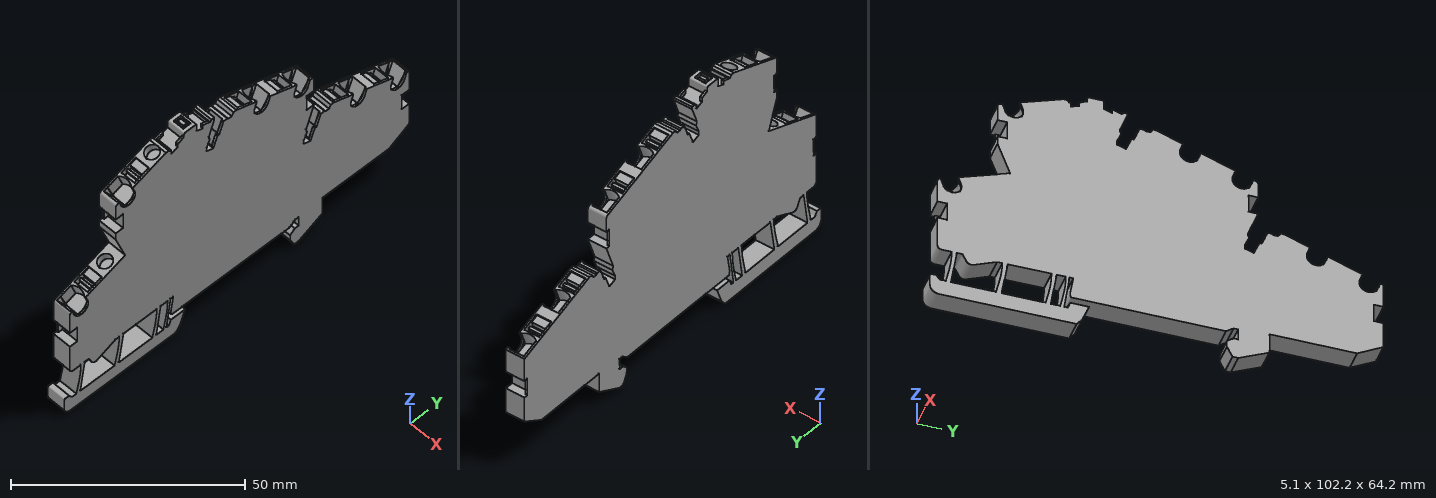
import cadquery as cq
import math

THICKNESS = 5.1
LENGTH = 102.24
HEIGHT = 64.25
HALF_LENGTH = LENGTH / 2
HALF_THICKNESS = THICKNESS / 2

SLOPE_ANGLE = 20.0
SLOPE_TAN = math.tan(math.radians(SLOPE_ANGLE))
CORNER_RADIUS = 0.8

TOP_PLATE_Z = 61.6
BODY_BOTTOM_Z = 7.1
TAIL_BOTTOM_Z = 8.9
LEG_TOP_Z = 12.6
LEG_BOTTOM_Z = 4.1
LEG_OVERLAP = 0.3
SPRING_LEGS = [
    (-19.6, -20.9, 0.9),
    (-22.5, -23.9, 1.2),
    (-33.5, -35.0, 1.3),
    (-45.0, -46.4, 1.2),
]
LEG_BEND_DROP = 2.5
LEG_BEND_RADIUS = 25.0
RAIL_LIP_Z = 5.55

LEFT_LOWER = (HALF_LENGTH, 29.7)
LEFT_UPPER = (22.9, 50.8)
RIGHT_LOWER = (-49.45, 32.2)
RIGHT_UPPER = (-35.9, 56.8)
LEFT_LOWER_RUN = 22.4
LEFT_UPPER_RUN = 23.0
RIGHT_LOWER_RUN = 16.4
RIGHT_UPPER_RUN = 14.9

RECESS_DEPTH = 1.0
RECESS_HEIGHT = 4.55
RECESS_CORE_DEPTH = 1.2
RECESS_SKIN = 0.5
LEFT_LOWER_RECESS_Z = 19.0
LEFT_UPPER_RECESS_Z = 42.0
RIGHT_LOWER_RECESS_Z = 21.3
RIGHT_UPPER_RECESS_Z = 47.75

OPENING_WIDTH = 4.0
FUNNEL_START = 0.5
FUNNEL_LENGTH = 5.2
FUNNEL_RAMP = 1.2
FUNNEL_DEPTH = 4.0
FUNNEL_BULGE = 0.7
FUNNEL_SIDE_TAPER = 0.7
NOTCH_START = 0.3
NOTCH_LENGTH = 4.2
NOTCH_DEPTH = 4.0
NOTCH_SHOULDER = 2.1
LEVER_START = 6.1
LEVER_LENGTH = 4.5
LEVER_DEPTH = 2.0
LEVER_BAR_LENGTH = 0.7
LEVER_BAR_OFFSET = 1.1
LEVER_BAR_HEIGHT = 1.0
LEVER_PLATE_LENGTH = 2.0
LEVER_PLATE_HEIGHT = 1.6
GAP_CORE_WIDTH = 3.8
OPENING_PITCH = 12.6
UPPER_FACE_SHIFT = 0.4
TEST_HOLE_DIAMETER = 3.6
TEST_HOLE_POSITION = 13.7
TEST_HOLE_DEPTH = 2.5

TOWER_CENTER_Y = -13.75
TOWER_WIDTH = 3.8
TOWER_SLOT_WIDTH = 3.0
TOWER_SLOT_LENGTH = 2.2
TOWER_SLOT_DEPTH = 0.8
TOWER_POST_WIDTH = 1.8
TOWER_POST_LENGTH = 1.0
SIDE_WALL = 0.6
ROOF_POCKET_ROOT = 0.35
ROOF_POCKET_SPLIT = 3.7
ROOF_POCKET_END = 5.6


def rounded_outline(corners):
    """Closed YZ wire from (y, z) or (y, z, radius) corners."""
    path = None
    count = len(corners)
    for index, corner in enumerate(corners):
        point = cq.Vector(corner[0], corner[1])
        if len(corner) == 2:
            stops = [point]
        else:
            previous = corners[index - 1]
            following = corners[(index + 1) % count]
            to_previous = (cq.Vector(previous[0], previous[1]) - point).normalized()
            to_following = (cq.Vector(following[0], following[1]) - point).normalized()
            half_angle = to_previous.getAngle(to_following) / 2
            tangent = corner[2] / math.tan(half_angle)
            bisector = (to_previous + to_following).normalized()
            middle = point + bisector * (corner[2] / math.sin(half_angle) - corner[2])
            stops = [point + to_previous * tangent, middle, point + to_following * tangent]
        pairs = [(stop.x, stop.y) for stop in stops]
        if path is None:
            path = cq.Workplane("YZ", origin=(-HALF_THICKNESS, 0, 0)).moveTo(*pairs[0])
        else:
            path = path.lineTo(*pairs[0])
        if len(pairs) > 1:
            path = path.threePointArc(pairs[1], pairs[2])
    return path.close()


def plate(corners):
    """Full-thickness plate with the given YZ outline."""
    return rounded_outline(corners).extrude(THICKNESS)


def end_recess(face_y, bottom_z, inward):
    """Outline corners of a marker recess in an end face, from bottom to top."""
    floor_y = face_y + inward * RECESS_DEPTH
    top_z = bottom_z + RECESS_HEIGHT
    return [(face_y, bottom_z), (floor_y, bottom_z), (floor_y, top_z), (face_y, top_z)]


def ridge_and_gap(low_corner, run):
    """Top of a +Y wiring face and the stepped screwdriver gap behind it, down to the gap floor."""
    y = low_corner[0] - run
    z = low_corner[1] + run * SLOPE_TAN
    return [
        (y, z),
        (y - 0.85, z),
        (y - 1.4, z - 0.9),
        (y - 2.4, z - 0.9),
        (y - 2.7, z - 0.6),
        (y - 3.8, z - 0.6),
        (y - 5.1, z - 3.9),
        (y - 5.6, z - 3.9),
        (y - 6.85, z - 7.05),
        (y - 8.85, z - 6.4),
        (y - 8.85, z - 5.4),
        (y - 7.9, z - 3.2),
        (y - 8.2, z - 2.25),
    ]


def tower_outline():
    """Roof line from the gap over the tower to the -Y upper wiring face."""
    tower_left = TOWER_CENTER_Y + TOWER_WIDTH / 2
    tower_right = TOWER_CENTER_Y - TOWER_WIDTH / 2
    return [
        (-6.65, TOP_PLATE_Z - 0.2),
        (-6.65, TOP_PLATE_Z + 0.5),
        (-7.5, TOP_PLATE_Z + 0.5),
        (-7.9, TOP_PLATE_Z),
        (tower_left, TOP_PLATE_Z + 1.4),
        (tower_left, HEIGHT, 0.4),
        (tower_right, HEIGHT, 0.5),
        (tower_right, TOP_PLATE_Z + 1.5),
        (-17.7, TOP_PLATE_Z + 0.5),
        (-19.7, TOP_PLATE_Z),
        (-20.1, TOP_PLATE_Z + 0.6),
    ]


def housing():
    """Terminal housing with its +Y rail hook, without the -Y spring foot."""
    right_upper_ridge = (
        RIGHT_UPPER[0] + RIGHT_UPPER_RUN,
        RIGHT_UPPER[1] + RIGHT_UPPER_RUN * SLOPE_TAN,
    )
    inner_corner = (
        RIGHT_LOWER[0] + RIGHT_LOWER_RUN,
        RIGHT_LOWER[1] + RIGHT_LOWER_RUN * SLOPE_TAN,
    )
    corners = [(HALF_LENGTH, 12.3)]
    corners += end_recess(HALF_LENGTH, LEFT_LOWER_RECESS_Z, -1)
    corners += [LEFT_LOWER]
    corners += ridge_and_gap(LEFT_LOWER, LEFT_LOWER_RUN)
    corners += end_recess(LEFT_UPPER[0], LEFT_UPPER_RECESS_Z, -1)
    corners += [(*LEFT_UPPER, CORNER_RADIUS)]
    corners += ridge_and_gap(LEFT_UPPER, LEFT_UPPER_RUN)
    corners += tower_outline()
    corners += [right_upper_ridge, (*RIGHT_UPPER, CORNER_RADIUS)]
    corners += reversed(end_recess(RIGHT_UPPER[0], RIGHT_UPPER_RECESS_Z, 1))
    corners += [(RIGHT_UPPER[0], 45.7), inner_corner, (*RIGHT_LOWER, CORNER_RADIUS)]
    corners += reversed(end_recess(RIGHT_LOWER[0], RIGHT_LOWER_RECESS_Z, 1))
    corners += [
        (RIGHT_LOWER[0], LEG_TOP_Z, 1.0),
        (-43.8, LEG_TOP_Z, 0.3),
        (-42.4, 9.8, 1.2),
        (-36.0, LEG_TOP_Z - 0.1),
        (-18.8, LEG_TOP_Z),
        (-19.55, 8.2),
        (-19.4, BODY_BOTTOM_Z, 0.2),
        (15.6, BODY_BOTTOM_Z),
        (17.3, 8.35),
        (18.35, 8.35),
        (18.35, RAIL_LIP_Z),
        (17.2, RAIL_LIP_Z),
        (15.8, 4.4),
        (15.8, 2.8),
        (17.05, 0.35),
        (18.35, 0.35),
        (25.4, 3.75),
        (25.4, TAIL_BOTTOM_Z),
        (45.15, TAIL_BOTTOM_Z),
    ]
    return plate(corners)


def foot_bar():
    """Bar of the -Y spring foot with its rail lip and release end."""
    return plate([
        (-15.25, RAIL_LIP_Z),
        (-19.5, RAIL_LIP_Z),
        (-20.15, LEG_BOTTOM_Z),
        (-48.9, LEG_BOTTOM_Z, 0.4),
        (-49.65, 5.2),
        (-HALF_LENGTH, 5.2, 0.4),
        (-HALF_LENGTH, 0, 2.0),
        (-18.05, 0),
        (-16.8, 1.5),
    ])


def spring_leg(top_y, bottom_y, width):
    """Inclined leg joining the housing to the foot bar; it overlaps both."""
    top = LEG_TOP_Z + LEG_OVERLAP
    bottom = LEG_BOTTOM_Z - LEG_OVERLAP
    return plate([
        (top_y, top),
        (top_y - width, top),
        (top_y - width, LEG_TOP_Z - LEG_BEND_DROP, LEG_BEND_RADIUS),
        (bottom_y - width, bottom),
        (bottom_y, bottom),
    ])


def face_plane(low_corner, side):
    """Plane on a wiring face: local x uphill, normal outward; side is +1 (+Y faces) or -1."""
    cosine = math.cos(math.radians(SLOPE_ANGLE))
    sine = math.sin(math.radians(SLOPE_ANGLE))
    return cq.Plane(
        origin=(0, low_corner[0], low_corner[1]),
        xDir=(0, -side * cosine, sine),
        normal=(0, side * sine, cosine),
    )


def local_block(start, length, width, bottom, height):
    """Block in wiring-face coordinates, centred across the face."""
    return cq.Workplane("XY").box(length, width, height, centered=(False, True, False)).translate(
        (start, 0, bottom)
    )


def funnel(start, side):
    """Conductor funnel with a ramp, a rounded uphill end and a notch through the +X wall."""
    half = OPENING_WIDTH / 2
    straight = FUNNEL_LENGTH - FUNNEL_BULGE
    plan = (
        cq.Workplane("XY", origin=(start, 0, -FUNNEL_DEPTH))
        .moveTo(0, -half)
        .lineTo(straight, -half)
        .threePointArc((FUNNEL_LENGTH, 0), (straight, half))
        .lineTo(0, half)
        .close()
        .extrude(FUNNEL_DEPTH * 2)
    )
    ramp = (
        cq.Workplane("XZ", origin=(start, 0, 0))
        .polyline([
            (0, 0),
            (FUNNEL_RAMP, -FUNNEL_DEPTH),
            (FUNNEL_LENGTH, -FUNNEL_DEPTH),
            (FUNNEL_LENGTH, FUNNEL_DEPTH),
            (0, FUNNEL_DEPTH),
        ])
        .close()
        .extrude(half, both=True)
    )
    taper = (
        cq.Workplane("YZ", origin=(start, 0, 0))
        .polyline([
            (-side * half, 0),
            (-side * half, -FUNNEL_DEPTH),
            (side * (FUNNEL_SIDE_TAPER - half), -FUNNEL_DEPTH),
        ])
        .close()
        .extrude(FUNNEL_RAMP)
    )
    notch_start = start + NOTCH_START
    notch_end = notch_start + NOTCH_LENGTH
    notch = (
        cq.Workplane("XZ", origin=(0, side * half, 0))
        .moveTo(notch_start, -NOTCH_SHOULDER)
        .threePointArc(
            ((notch_start + notch_end) / 2, -NOTCH_DEPTH),
            (notch_end, -NOTCH_SHOULDER),
        )
        .lineTo(notch_end, NOTCH_DEPTH)
        .lineTo(notch_start, NOTCH_DEPTH)
        .close()
        .extrude(-side * THICKNESS)
    )
    return plan.intersect(ramp).cut(taper).union(notch)


def lever_pocket(start):
    """Release-lever pocket whose floor keeps a cross bar and a raised plate."""
    pocket = local_block(start, LEVER_LENGTH, OPENING_WIDTH, -LEVER_DEPTH, LEVER_DEPTH * 2)
    bar = local_block(
        start + LEVER_BAR_OFFSET, LEVER_BAR_LENGTH, OPENING_WIDTH, -LEVER_DEPTH, LEVER_BAR_HEIGHT
    )
    plate_start = start + LEVER_LENGTH - LEVER_PLATE_LENGTH
    lever_plate = local_block(
        plate_start, LEVER_PLATE_LENGTH, OPENING_WIDTH, -LEVER_DEPTH, LEVER_PLATE_HEIGHT
    )
    return pocket.cut(bar).cut(lever_plate)


def test_hole(position):
    """Round test-probe hole, square to the wiring face."""
    return (
        cq.Workplane("XY", origin=(position, 0, -TEST_HOLE_DEPTH))
        .circle(TEST_HOLE_DIAMETER / 2)
        .extrude(TEST_HOLE_DEPTH * 1.5)
    )


def cut_wiring_face(body, low_corner, side, opening_count, shift=0.0):
    """Cut the openings of one wiring face; single-opening faces also get a test hole."""
    location = cq.Location(face_plane(low_corner, side))
    cutters = []
    for number in range(opening_count):
        offset = shift + number * OPENING_PITCH
        cutters.append(funnel(FUNNEL_START + offset, side))
        cutters.append(lever_pocket(LEVER_START + offset))
    if opening_count == 1:
        cutters.append(test_hole(TEST_HOLE_POSITION + shift))
    for cutter in cutters:
        body = body.cut(cq.Workplane(cutter.val().moved(location)))
    return body


def cut_recess_cores(body):
    """Deepen the four marker recesses behind the -X skin, open to the +X flank."""
    reach = RECESS_DEPTH + RECESS_CORE_DEPTH
    for face_y, bottom_z, inward in [
        (LEFT_LOWER[0], LEFT_LOWER_RECESS_Z, -1),
        (LEFT_UPPER[0], LEFT_UPPER_RECESS_Z, -1),
        (RIGHT_LOWER[0], RIGHT_LOWER_RECESS_Z, 1),
        (RIGHT_UPPER[0], RIGHT_UPPER_RECESS_Z, 1),
    ]:
        core = cq.Workplane("XY").box(
            THICKNESS - RECESS_SKIN, reach, RECESS_HEIGHT, centered=(True, True, False)
        )
        core_y = face_y + inward * reach / 2
        body = body.cut(core.translate((RECESS_SKIN / 2, core_y, bottom_z)))
    return body


def cut_gap_core(body, low_corner, run):
    """Cut a straight channel into the stepped ridge-side wall of a screwdriver gap."""
    y = low_corner[0] - run
    z = low_corner[1] + run * SLOPE_TAN
    channel = (
        cq.Workplane("YZ")
        .polyline([
            (y - 3.55, z - 0.6),
            (y - 6.6, z - 7.05),
            (y - 6.85, z - 7.05),
            (y - 4.5, z - 0.6),
        ])
        .close()
        .extrude(GAP_CORE_WIDTH / 2, both=True)
    )
    return body.cut(channel)


def roof_pocket(inner_distance, outer_distance, tower_side, open_side):
    """Pocket with a sloped floor beside the tower, open to the -X (-1) or +X (+1) flank.

    Distances run along Y from the tower centre; tower_side is +1 for its +Y side.
    """
    floor_root_z = TOP_PLATE_Z + ROOF_POCKET_ROOT
    floor = [
        (
            TOWER_CENTER_Y + tower_side * distance,
            floor_root_z - (distance - TOWER_WIDTH / 2) * SLOPE_TAN,
        )
        for distance in (inner_distance, outer_distance)
    ]
    roof = [(y, HEIGHT) for y, _ in reversed(floor)]
    width = THICKNESS - SIDE_WALL
    return (
        cq.Workplane("YZ", origin=(open_side * SIDE_WALL / 2, 0, 0))
        .polyline(floor + roof)
        .close()
        .extrude(width / 2, both=True)
    )


def cut_roof(body):
    """Cut the four flank pockets beside the tower and the slot in its top."""
    tower_edge = TOWER_WIDTH / 2
    pockets = [
        roof_pocket(tower_edge, ROOF_POCKET_SPLIT, 1, 1),
        roof_pocket(ROOF_POCKET_SPLIT, ROOF_POCKET_END, 1, -1),
        roof_pocket(tower_edge, ROOF_POCKET_SPLIT, -1, -1),
        roof_pocket(ROOF_POCKET_SPLIT, ROOF_POCKET_END, -1, 1),
    ]
    for pocket in pockets:
        body = body.cut(pocket)
    slot_floor = cq.Workplane("XY", origin=(0, TOWER_CENTER_Y, HEIGHT - TOWER_SLOT_DEPTH))
    slot = slot_floor.rect(TOWER_SLOT_WIDTH, TOWER_SLOT_LENGTH).extrude(TOWER_SLOT_DEPTH)
    post = slot_floor.rect(TOWER_POST_WIDTH, TOWER_POST_LENGTH).extrude(TOWER_SLOT_DEPTH)
    return body.cut(slot.cut(post))


def build():
    """Join housing and spring foot, then cut every opening."""
    body = housing().union(foot_bar())
    for top_y, bottom_y, width in SPRING_LEGS:
        body = body.union(spring_leg(top_y, bottom_y, width))
    body = cut_wiring_face(body, LEFT_LOWER, 1, 2)
    body = cut_wiring_face(body, LEFT_UPPER, 1, 2, UPPER_FACE_SHIFT)
    body = cut_wiring_face(body, RIGHT_LOWER, -1, 1)
    body = cut_wiring_face(body, RIGHT_UPPER, -1, 1, UPPER_FACE_SHIFT)
    body = cut_gap_core(body, LEFT_LOWER, LEFT_LOWER_RUN)
    body = cut_gap_core(body, LEFT_UPPER, LEFT_UPPER_RUN)
    body = cut_recess_cores(body)
    return cut_roof(body)


result = build()